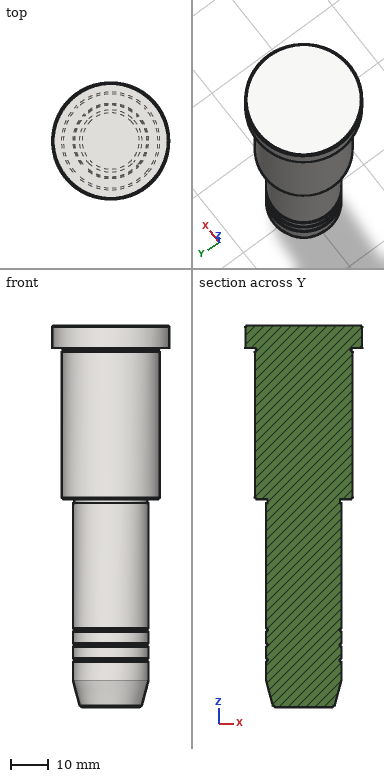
import cadquery as cq
import math

total_length = 101.0
head_radius = 15.5
head_height = 6.0
head_edge_chamfer = 0.4
body_radius = 12.98
body_length = 40.0
body_chamfer = 0.5
shank_radius = 10.0

groove_width = 1.0
neck_groove_width = 1.1
vee_depth = 0.5
relief_width = 1.0
relief_depth = 0.3
groove_count = 3
lowest_groove_bottom = 12.0
highest_groove_bottom = 20.0
groove_pitch = (highest_groove_bottom - lowest_groove_bottom) / (groove_count - 1)

taper_length = 7.1
taper_angle = 15.0
tip_chamfer = 0.6

head_bottom = total_length - head_height
body_bottom = head_bottom - body_length
tip_radius = shank_radius - taper_length * math.tan(math.radians(taper_angle))


def cylinder(radius, bottom, height):
    return cq.Workplane("XY").workplane(offset=bottom).circle(radius).extrude(height)


def vee_groove(radius, bottom, width):
    """Ring cutter with a symmetric V section, its deepest point halfway up the width."""
    section = (
        cq.Workplane("XZ")
        .moveTo(radius, bottom)
        .lineTo(radius - vee_depth, bottom + width / 2)
        .lineTo(radius, bottom + width)
        .close()
    )
    return section.revolve(360, (0, 0, 0), (0, 1, 0))


def square_relief(radius, bottom):
    """Shallow ring cutter with a flat floor."""
    floor = cylinder(radius - relief_depth, bottom, relief_width)
    return cylinder(radius, bottom, relief_width).cut(floor)


def make_shank():
    profile = (
        cq.Workplane("XZ")
        .moveTo(0, 0)
        .lineTo(tip_radius, 0)
        .lineTo(shank_radius, taper_length)
        .lineTo(shank_radius, body_bottom)
        .lineTo(0, body_bottom)
        .close()
    )
    shank = profile.revolve(360, (0, 0, 0), (0, 1, 0)).faces("<Z").edges().chamfer(tip_chamfer)
    for index in range(groove_count):
        shank = shank.cut(vee_groove(shank_radius, lowest_groove_bottom + index * groove_pitch, groove_width))
    return shank.cut(square_relief(shank_radius, body_bottom - relief_width))


def make_body():
    body = cylinder(body_radius, body_bottom, body_length).faces("<Z").edges().chamfer(body_chamfer)
    return body.cut(vee_groove(body_radius, head_bottom - neck_groove_width, neck_groove_width))


def make_head():
    head = cylinder(head_radius, head_bottom, head_height)
    return head.faces(">Z").edges().chamfer(head_edge_chamfer)


result = make_shank().union(make_body()).union(make_head())